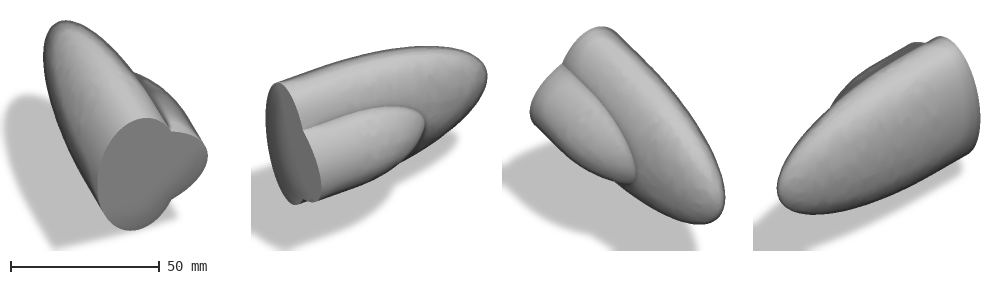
import cadquery as cq

POD_NOSE_LENGTH = 60.0
POD_HALF_WIDTH = 15.0
POD_HALF_HEIGHT = 25.0

BULGE_NOSE_LENGTH = 35.0
BULGE_REACH = 25.0
BULGE_HALF_HEIGHT = 17.5

COLLAR_LENGTH = 16.0


def half_nose(nose_length, half_width, half_height):
    """The +Y half of an ellipsoid nose pointing to -X, with its flat side on the XZ plane."""
    round_nose = (
        cq.Workplane("XZ")
        .ellipseArc(nose_length, half_height, angle1=90, angle2=180, startAtCurrent=False)
        .lineTo(0, 0)
        .close()
        .revolve(180, (0, 0, 0), (-1, 0, 0))
    )
    width_ratio = half_width / half_height
    scale_width = cq.Matrix(
        [
            [1, 0, 0, 0],
            [0, width_ratio, 0, 0],
            [0, 0, 1, 0],
        ]
    )
    return cq.Workplane(round_nose.val().transformGeometry(scale_width))


def half_collar(half_width, half_height):
    """The +Y half of a straight elliptical collar running from X = 0 to +X."""
    return (
        cq.Workplane("YZ")
        .ellipseArc(half_width, half_height, angle1=-90, angle2=90, startAtCurrent=False)
        .close()
        .extrude(COLLAR_LENGTH)
    )


def half_body(nose_length, half_width, half_height):
    """The +Y half of a nose and its collar."""
    nose = half_nose(nose_length, half_width, half_height)
    return nose.union(half_collar(half_width, half_height))


pod_half = half_body(POD_NOSE_LENGTH, POD_HALF_WIDTH, POD_HALF_HEIGHT)
pod = pod_half.union(pod_half.mirror("XZ"))
bulge = half_body(BULGE_NOSE_LENGTH, BULGE_REACH, BULGE_HALF_HEIGHT)
result = pod.union(bulge)